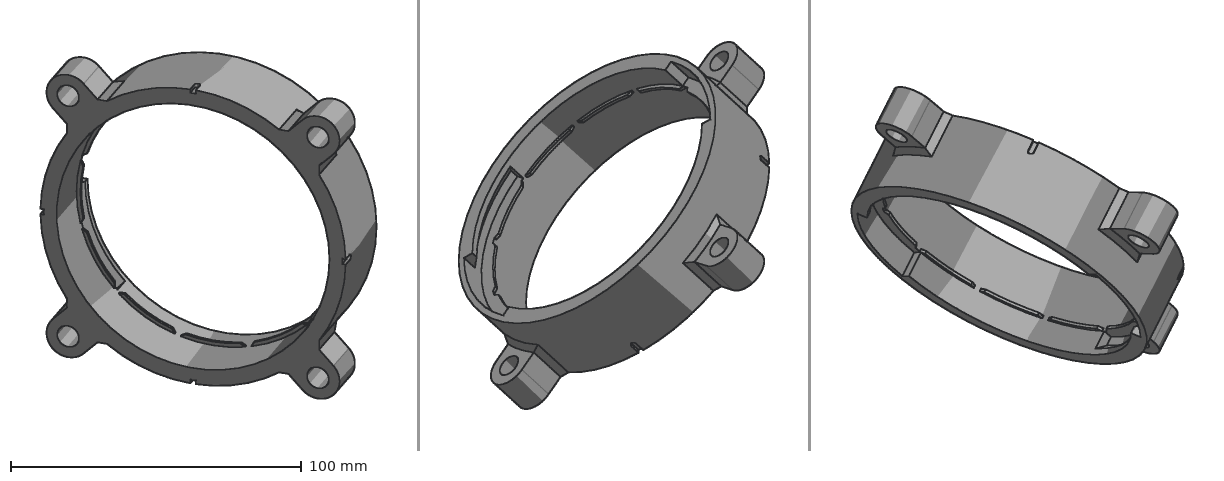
import cadquery as cq
import math

OUTER_RADIUS = 56.2
BORE_DIAMETER = 100.5
BORE_RADIUS = BORE_DIAMETER / 2
RING_DEPTH = 30.0
FRONT_Y = -RING_DEPTH / 2

EAR_RADIUS = 8.0
EAR_HOLE_DIAMETER = 8.0
EAR_DEPTH = 15.0
EAR_OFFSET = 46.0
EAR_CENTRE_RADIUS = EAR_OFFSET * math.sqrt(2)
EAR_CHAMFER = 2.0
EAR_ANGLES = (45, 135, 225, 315)

NOTCH_WIDTH = 2.0
NOTCH_LENGTH = 5.2
NOTCH_DEPTH = 1.4
NOTCH_ANGLES = (0, 90, 180, 270)

LIP_RADIUS = 48.8
LIP_FRONT = 19.2
LIP_THICKNESS = 1.1
LIP_BACK = LIP_FRONT + LIP_THICKNESS
LIP_COUNT = 12
LIP_PITCH = 360 / LIP_COUNT
FIRST_GAP_ANGLE = LIP_PITCH / 2
GAP_HALF_WIDTH = 1.1

BAYONET_RADIUS = 53.9
ENTRY_ANGLES = (-47, 133)
ENTRY_SWEEP = 47
GROOVE_SWEEP = 45
RIM_THICKNESS = 2.5
GROOVE_BACK = RING_DEPTH - RIM_THICKNESS
GROOVE_DEPTH = BAYONET_RADIUS - BORE_RADIUS

OVERLAP = 1.1


def revolve_profile(points, start_angle=0, sweep=360):
    """Revolve a (radius, depth) profile about the ring axis, starting at an angle from +X towards +Z."""
    profile = cq.Workplane("XY", origin=(0, FRONT_Y, 0)).polyline(points).close()
    solid = profile.revolve(sweep, (0, 0, 0), (0, -1, 0))
    return at_angle(solid, start_angle)


def rectangle(inner_radius, outer_radius, front, back):
    """Corners of a rectangular (radius, depth) profile."""
    return [(inner_radius, front), (outer_radius, front), (outer_radius, back), (inner_radius, back)]


def at_angle(solid, angle):
    """Turn a solid about the ring axis from +X towards +Z."""
    return solid.rotate((0, 0, 0), (0, -1, 0), angle)


def extrude_back(sketch, depth):
    """Extrude a sketch drawn on the front face towards +Y."""
    return sketch.extrude(-depth)


def front_plane():
    """Workplane on the front face, centred on the ring axis."""
    return cq.Workplane("XZ", origin=(0, FRONT_Y, 0))


def make_ear():
    """Rounded ear on +X with a chamfered foot where it meets the ring."""
    foot_start = BORE_RADIUS + OVERLAP
    bar_length = EAR_CENTRE_RADIUS - foot_start
    bar = front_plane().center(foot_start + bar_length / 2, 0).rect(bar_length, 2 * EAR_RADIUS)
    ear = extrude_back(bar, EAR_DEPTH)
    tip = front_plane().center(EAR_CENTRE_RADIUS, 0).circle(EAR_RADIUS)
    ear = ear.union(extrude_back(tip, EAR_DEPTH))

    collar_radius = OUTER_RADIUS + EAR_CHAMFER
    foot_depth = EAR_DEPTH + EAR_CHAMFER
    collar = revolve_profile([
        (foot_start, 0),
        (collar_radius, 0),
        (collar_radius, EAR_DEPTH),
        (OUTER_RADIUS, foot_depth),
        (foot_start, foot_depth),
    ])
    corner = math.sqrt(OUTER_RADIUS ** 2 - EAR_RADIUS ** 2)
    wedge_tip = corner + EAR_CHAMFER + EAR_RADIUS
    wedge_start = OUTER_RADIUS - 2 * EAR_CHAMFER
    half_width = wedge_tip - wedge_start
    wedge = front_plane().polyline([
        (wedge_start, -half_width),
        (wedge_tip, 0),
        (wedge_start, half_width),
    ]).close()
    foot = collar.intersect(extrude_back(wedge, foot_depth))
    return ear.union(foot)


def make_ear_hole():
    """Screw hole through the ear on +X."""
    hole = front_plane().center(EAR_CENTRE_RADIUS, 0).circle(EAR_HOLE_DIAMETER / 2)
    return extrude_back(hole, EAR_DEPTH)


def make_notch():
    """Round-ended notch cut into the ring's outside at +X, open to the front."""
    straight = NOTCH_LENGTH - NOTCH_WIDTH / 2
    half_width = NOTCH_WIDTH / 2
    return (
        cq.Workplane("YZ", origin=(OUTER_RADIUS - NOTCH_DEPTH, FRONT_Y, 0))
        .moveTo(0, -half_width)
        .lineTo(straight, -half_width)
        .threePointArc((NOTCH_LENGTH, 0), (straight, half_width))
        .lineTo(0, half_width)
        .close()
        .extrude(NOTCH_DEPTH + OVERLAP)
    )


def make_lip():
    """Ring lip divided by gaps whose 45 degree flanks open towards the axis."""
    lip = revolve_profile(rectangle(LIP_RADIUS, BORE_RADIUS + OVERLAP, LIP_FRONT, LIP_BACK))
    inner = LIP_RADIUS - OVERLAP
    inner_half_width = GAP_HALF_WIDTH + BORE_RADIUS - inner
    gap = front_plane().polyline([
        (inner, -inner_half_width),
        (BORE_RADIUS, -GAP_HALF_WIDTH),
        (BORE_RADIUS, GAP_HALF_WIDTH),
        (inner, inner_half_width),
    ]).close()
    gap = extrude_back(gap, RING_DEPTH)
    for index in range(LIP_COUNT):
        lip = lip.cut(at_angle(gap, FIRST_GAP_ANGLE + index * LIP_PITCH))
    return lip


def make_bayonet_cut(angle):
    """Entry open to the back, then a groove whose back wall slopes at 45 degrees."""
    inner = BORE_RADIUS - OVERLAP
    entry_profile = rectangle(inner, BAYONET_RADIUS, LIP_BACK, RING_DEPTH + OVERLAP)
    entry = revolve_profile(entry_profile, angle, ENTRY_SWEEP)
    groove = revolve_profile([
        (inner, LIP_BACK),
        (BAYONET_RADIUS, LIP_BACK),
        (BAYONET_RADIUS, GROOVE_BACK - GROOVE_DEPTH),
        (BORE_RADIUS, GROOVE_BACK),
        (inner, GROOVE_BACK),
    ], angle + ENTRY_SWEEP, GROOVE_SWEEP)
    return entry.union(groove)


result = revolve_profile(rectangle(BORE_RADIUS, OUTER_RADIUS, 0, RING_DEPTH))
for ear_angle in EAR_ANGLES:
    result = result.union(at_angle(make_ear(), ear_angle))
    result = result.cut(at_angle(make_ear_hole(), ear_angle))
for notch_angle in NOTCH_ANGLES:
    result = result.cut(at_angle(make_notch(), notch_angle))
for entry_angle in ENTRY_ANGLES:
    result = result.cut(make_bayonet_cut(entry_angle))
result = result.union(make_lip())